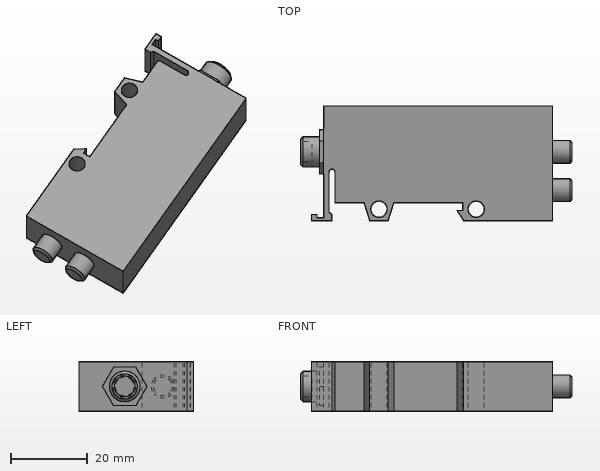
import cadquery as cq
import math

length = 71.0
width = 30.0
thickness = 13.0
mid_height = thickness / 2

body_left = 6.0
body_right = 65.9
rail_face = 4.7

leg_thickness = 1.5
slot_width = 1.5
slot_end = 13.5
foot_left = 2.85
foot_right = 8.25
foot_lip_height = 1.7
foot_floor = 0.85
foot_lip_width = 1.5
foot_bevel = 0.65

lug_x = 20.5
lug_root_half = 3.9
lug_tip_half = 2.4
hole_y = 3.05
hole_diameter = 4.2
right_hole_x = 45.95

hook_wall = 42.4
hook_tip = 40.9
hook_tip_y = 2.8
hook_base = 42.7

connector_y = 18.0
connector_diameter = 8.0
connector_chamfer = 0.7
bore_diameter = 5.4
bore_depth = 3.0
nut_thickness = 1.1
nut_across_flats = 10.1

plug_y_positions = (8.0, connector_y)
plug_diameter = 6.0
plug_chamfer = 0.6


def make_housing():
    """Extrude the profile with spring leg, lug and rail hook."""
    slot_left = body_left + leg_thickness
    slot_right = slot_left + slot_width
    slot_radius = slot_width / 2
    slot_shoulder = slot_end - slot_radius
    lip_right = foot_left + foot_lip_width
    return (
        cq.Workplane("XY")
        .moveTo(body_left, width)
        .lineTo(body_left, foot_floor)
        .lineTo(lip_right, foot_floor)
        .lineTo(lip_right, foot_lip_height)
        .lineTo(foot_left, foot_lip_height)
        .lineTo(foot_left, 0)
        .lineTo(foot_right, 0)
        .lineTo(foot_right, foot_lip_height)
        .lineTo(slot_left, foot_lip_height + foot_bevel)
        .lineTo(slot_left, slot_shoulder)
        .threePointArc((slot_left + slot_radius, slot_end), (slot_right, slot_shoulder))
        .lineTo(slot_right, rail_face)
        .lineTo(lug_x - lug_root_half, rail_face)
        .lineTo(lug_x - lug_tip_half, 0)
        .lineTo(lug_x + lug_tip_half, 0)
        .lineTo(lug_x + lug_root_half, rail_face)
        .lineTo(hook_wall, rail_face)
        .lineTo(hook_wall, hook_tip_y)
        .lineTo(hook_tip, hook_tip_y)
        .lineTo(hook_base, 0)
        .lineTo(body_right, 0)
        .lineTo(body_right, width)
        .close()
        .extrude(thickness)
    )


def end_plane(x):
    """Plane facing +X at x, with local X along Y and origin at mid-height."""
    return cq.Workplane("YZ", origin=(x, 0, mid_height))


def make_connector():
    """Chamfered barrel and its nut, with two nut corners pointing along Y."""
    barrel = (
        end_plane(0)
        .center(connector_y, 0)
        .circle(connector_diameter / 2)
        .extrude(body_left)
        .faces("<X")
        .chamfer(connector_chamfer)
    )
    nut_across_corners = nut_across_flats / math.cos(math.pi / 6)
    nut = (
        end_plane(body_left - nut_thickness)
        .center(connector_y, 0)
        .polygon(6, nut_across_corners)
        .extrude(nut_thickness)
    )
    return barrel.union(nut)


def make_plug(y):
    """Chamfered cylinder projecting from the right end face."""
    return (
        end_plane(body_right)
        .center(y, 0)
        .circle(plug_diameter / 2)
        .extrude(length - body_right)
        .faces(">X")
        .chamfer(plug_chamfer)
    )


mounting_holes = (
    cq.Workplane("XY")
    .pushPoints([(lug_x, hole_y), (right_hole_x, hole_y)])
    .circle(hole_diameter / 2)
    .extrude(thickness)
)
connector_bore = end_plane(0).center(connector_y, 0).circle(bore_diameter / 2).extrude(bore_depth)

result = make_housing().cut(mounting_holes).union(make_connector()).cut(connector_bore)
for plug_y in plug_y_positions:
    result = result.union(make_plug(plug_y))